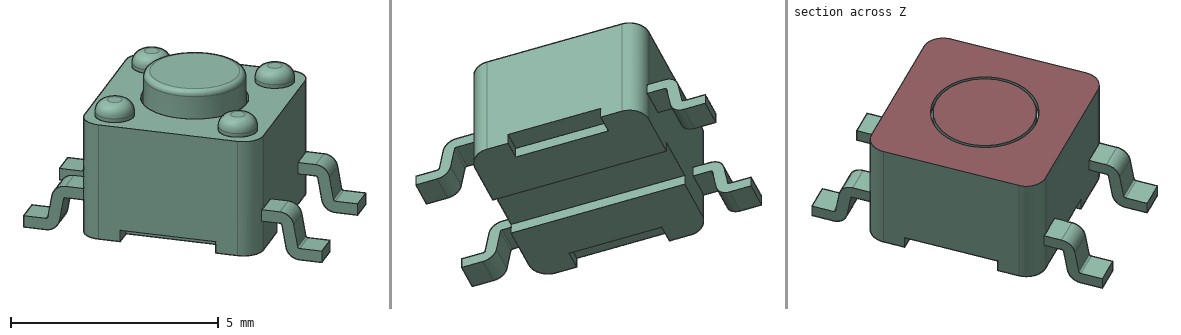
import cadquery as cq
import math

overall_length = 7.5
overall_height = 3.8

body_side = 4.5
body_height = 3.0
corner_radius = 0.5
cover_thickness = 0.3

recess_depth = 0.3
channel_width = 1.2
notch_width = 2.4
notch_length = 0.5

clearance_diameter = 2.6
button_base_diameter = 2.505
button_rim_diameter = 2.46
button_rim_radius = 0.15

rivet_diameter = 0.95
rivet_height = 0.4
rivet_rounding = 0.3
rivet_spacing = 3.1

lead_width = 0.7
lead_thickness = 0.3
lead_height = 1.2
lead_spacing = 3.0
lead_drop = 0.1
foot_length = 0.55
leg_lean = math.radians(10)
outer_bend_radius = 0.35
inner_bend_radius = outer_bend_radius - lead_thickness

base_height = body_height - cover_thickness


def make_housing():
    housing = (
        cq.Workplane("XY")
        .rect(body_side, body_side)
        .extrude(body_height)
        .edges("|Z")
        .fillet(corner_radius)
    )
    clearance = (
        cq.Workplane("XY", origin=(0, 0, base_height))
        .circle(clearance_diameter / 2)
        .extrude(cover_thickness)
    )
    channel = cq.Workplane("XY").rect(body_side, channel_width).extrude(recess_depth)
    notches = (
        cq.Workplane("XY")
        .pushPoints([(0, side * (body_side - notch_length) / 2) for side in (-1, 1)])
        .rect(notch_width, notch_length)
        .extrude(recess_depth)
    )
    return housing.cut(clearance).cut(channel).cut(notches)


def make_button():
    button_height = overall_height - lead_drop - base_height
    taper = math.atan2((button_base_diameter - button_rim_diameter) / 2, button_height)
    return (
        cq.Workplane("XY", origin=(0, 0, base_height))
        .circle(button_base_diameter / 2)
        .extrude(button_height, taper=math.degrees(taper))
        .faces(">Z")
        .edges()
        .fillet(button_rim_radius)
    )


def make_rivet_heads():
    return (
        cq.Workplane("XY", origin=(0, 0, body_height))
        .rect(rivet_spacing, rivet_spacing, forConstruction=True)
        .vertices()
        .circle(rivet_diameter / 2)
        .extrude(rivet_height)
        .faces(">Z")
        .edges()
        .fillet(rivet_rounding)
    )


def make_lead():
    """One lead on the -X side, centred on Y = 0."""
    tip_x = -overall_length / 2
    root_x = -body_side / 2 + corner_radius
    bottom = -lead_drop
    top = bottom + lead_height
    foot_top = bottom + lead_thickness
    shoulder_underside = top - lead_thickness

    def outer_face_x(z):
        return tip_x + foot_length + (z - bottom) * math.tan(leg_lean)

    def inner_face_x(z):
        return outer_face_x(z) + lead_thickness / math.cos(leg_lean)

    foot_inner_bend = (outer_face_x(foot_top), foot_top)
    shoulder_outer_bend = (outer_face_x(top), top)
    shoulder_inner_bend = (inner_face_x(shoulder_underside), shoulder_underside)
    foot_outer_bend = (inner_face_x(bottom), bottom)

    lead = (
        cq.Workplane("XZ")
        .polyline([
            (tip_x, bottom),
            (tip_x, foot_top),
            foot_inner_bend,
            shoulder_outer_bend,
            (root_x, top),
            (root_x, shoulder_underside),
            shoulder_inner_bend,
            foot_outer_bend,
        ])
        .close()
        .extrude(lead_width / 2, both=True)
    )
    bends = [
        (foot_inner_bend, inner_bend_radius),
        (shoulder_outer_bend, outer_bend_radius),
        (shoulder_inner_bend, inner_bend_radius),
        (foot_outer_bend, outer_bend_radius),
    ]
    for (x, z), radius in bends:
        lead = lead.edges(cq.NearestToPointSelector((x, 0, z))).fillet(radius)
    return lead


result = make_housing().union(make_button()).union(make_rivet_heads())

left_lead = make_lead()
right_lead = left_lead.mirror("YZ")
for y in (-lead_spacing / 2, lead_spacing / 2):
    for lead in (left_lead, right_lead):
        result = result.union(lead.translate((0, y, 0)))